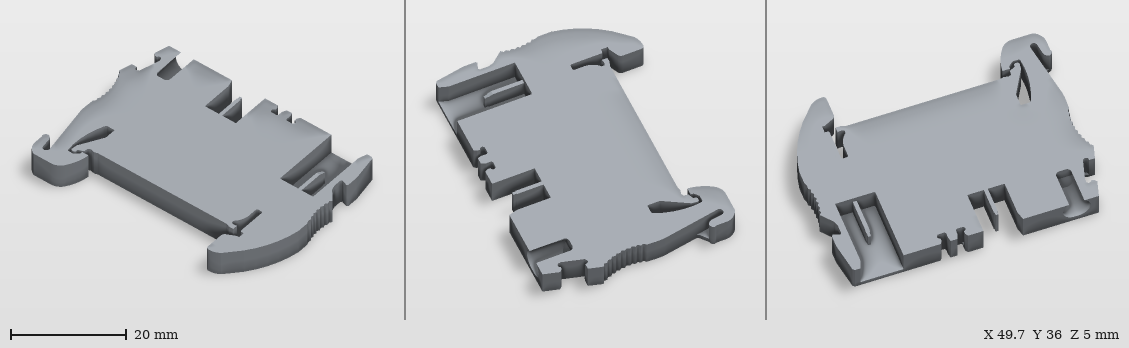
import cadquery as cq
import math

TOP = 36.0
THICK = 5.0
BASE = 7.05

GRIP_RADIUS = 10.8
TOOTH_STEP = 5.3
TOOTH_DEPTH = 0.3
LEFT_GRIP_CENTER = (-9.05, 19.9)
LEFT_GRIP_START = 32.0
LEFT_TEETH = 10
RIGHT_GRIP_CENTER = (49.1 + GRIP_RADIUS, 20.1)
RIGHT_TEETH = 7
RIGHT_GRIP_START = 180 - TOOTH_STEP * (RIGHT_TEETH - 1) / 2

SLOT_LEFT = 17.3
SLOT_RIGHT = 24.15
SLOT_FLOOR = 27.95
SLOT_BEVEL = (0.45, 1.6)

PIN_WIDTH = 0.75
PIN_TIP_WIDTH = 0.55
PIN_TIP_LENGTH = 0.65
SLOT_PIN_LEFT = 20.4
SLOT_PIN_END = 33.6

COMB_LEFT = 27.35
COMB_RIGHT = 31.65
COMB_FLOOR = 33.95
COMB_BEVEL = (0.35, 0.55)
COMB_TOOTH_LEFT = 28.6
COMB_TOOTH_RIGHT = 30.35

POCKET_LEFT = 38.85
POCKET_RIGHT = 46.2
POCKET_BOTTOM = 21.75
POCKET_FLOOR_Z = 0.85
POCKET_BEVEL = (0.55, 1.7)
POCKET_CORNER = 0.2
POCKET_PIN_LEFT = 42.25
POCKET_PIN_END = 29.15
POCKET_PIN_Z = 4.05
PIN_RAMP_LENGTH = 1.5
PIN_RAMP_DROP = 0.65

CHANNEL_X = 6.95
CHANNEL_WIDTH = 2.8
CHANNEL_END = 28.8
CHANNEL_CORNER = 0.8
BORE_RADIUS = 2.15
BORE_FLAT = 0.8
BORE_Z = 3.15
BORE_KINK = 33.25
BORE_FLOOR_END = 29.8
BORE_TAPER = 3.7
BORE_END_SLOPE = 56.0

GROOVE_RADIUS = 0.45
GROOVE_WEB = 0.5
GROOVES = [(3.5, 32.35), (2.35, 28.15), (COMB_LEFT, 34.4), (COMB_RIGHT, 34.4)]

LEVER_WEB = 0.95


def grip_points(center, start, count, direction):
    """Tooth tips on the grip circle with a notch between each pair."""
    points = []
    for i in range(2 * count - 1):
        radius = GRIP_RADIUS + TOOTH_DEPTH * (i % 2)
        angle = math.radians(start + direction * TOOTH_STEP * i / 2)
        points.append((center[0] + radius * math.cos(angle), center[1] + radius * math.sin(angle)))
    return points


def draw_top_edge(line):
    """Top edge from the left corner to the right corner."""
    line = line.lineTo(SLOT_LEFT - SLOT_BEVEL[0], TOP).lineTo(SLOT_LEFT, TOP - SLOT_BEVEL[1])
    line = line.lineTo(SLOT_LEFT, SLOT_FLOOR).lineTo(SLOT_RIGHT, SLOT_FLOOR).lineTo(SLOT_RIGHT, TOP)
    line = line.lineTo(COMB_LEFT - COMB_BEVEL[0], TOP).lineTo(COMB_LEFT, TOP - COMB_BEVEL[1])
    line = line.lineTo(COMB_LEFT, COMB_FLOOR).lineTo(28.4, COMB_FLOOR)
    line = line.lineTo(COMB_TOOTH_LEFT, 34.2).lineTo(COMB_TOOTH_LEFT, 35.15).lineTo(28.98, TOP)
    line = line.lineTo(30.15, TOP).lineTo(COMB_TOOTH_RIGHT, 35.3).lineTo(COMB_TOOTH_RIGHT, 34.2)
    line = line.lineTo(30.55, COMB_FLOOR).lineTo(COMB_RIGHT, COMB_FLOOR)
    line = line.lineTo(COMB_RIGHT, TOP - COMB_BEVEL[1]).lineTo(COMB_RIGHT + COMB_BEVEL[0], TOP)
    return line.lineTo(47.8, TOP)


def draw_right_side(line):
    """Right side with marker notch and grip, down to the tip of the right foot."""
    line = line.lineTo(48.15, 35.7).lineTo(49.1, 30.2).lineTo(49.1, 27.95).lineTo(48.85, 27.7)
    line = line.lineTo(47.55, 28.15).lineTo(47.35, 27.85).lineTo(47.35, 26.25).lineTo(47.65, 25.25)
    for point in grip_points(RIGHT_GRIP_CENTER, RIGHT_GRIP_START, RIGHT_TEETH, 1):
        line = line.lineTo(*point)
    line = line.lineTo(49.45, 16.8).lineTo(49.45, 16.4).lineTo(49.7, 15.8).lineTo(49.7, 13.4)
    line = line.threePointArc((48.3, 8.5), (45.5, 3.7)).lineTo(42.8, 0.7)
    return line.threePointArc((41.8, 0.2), (40.55, 0.0)).threePointArc((40.15, 0.15), (39.95, 0.5))


def draw_right_foot(line):
    """Inner side of the right foot and the spring gap above it."""
    line = line.lineTo(39.95, 4.1).threePointArc((40.05, 4.5), (40.35, 4.85)).lineTo(42.2, 5.75)
    line = line.lineTo(42.7, 5.75).lineTo(42.7, BASE).lineTo(42.1, BASE).lineTo(41.9, 7.25)
    line = line.lineTo(41.9, 13.05).lineTo(41.7, 13.25).lineTo(40.8, 13.25).lineTo(40.6, 13.05)
    line = line.lineTo(40.6, 11.05).threePointArc((40.25, 9.6), (39.35, 8.4)).lineTo(39.35, 7.85)
    line = line.threePointArc((39.95, 7.7), (40.6, 7.85)).lineTo(40.6, 6.75)
    return line.lineTo(39.65, 6.75).lineTo(38.9, BASE)


def draw_left_foot(line):
    """Spring gap of the left foot, then the hooked foot itself."""
    line = line.lineTo(10.4, BASE).lineTo(9.7, 6.85).lineTo(8.8, BASE).lineTo(8.3, 6.85)
    line = line.lineTo(8.2, 5.95).lineTo(7.1, 5.5).lineTo(7.1, 5.0).lineTo(6.8, 4.8)
    line = line.lineTo(6.3, 4.8).lineTo(6.1, 5.1).lineTo(6.25, 6.3).lineTo(8.95, 11.05)
    line = line.lineTo(8.95, 13.4).lineTo(7.3, 13.4).lineTo(6.95, 13.05)
    line = line.threePointArc((5.9, 9.7), (5.6, 6.2)).lineTo(5.75, 4.5).lineTo(5.95, 4.3)
    line = line.lineTo(7.1, 4.3).lineTo(8.0, 5.05).lineTo(8.05, 5.6).lineTo(9.45, 5.6)
    line = line.threePointArc((8.5, 2.3), (7.75, 1.05)).threePointArc((6.85, 0.3), (5.75, 0.0))
    line = line.lineTo(1.85, 0.0).threePointArc((0.7, 0.85), (0.15, 2.15)).lineTo(0.15, 4.25)
    return line.lineTo(0.0, 4.6).threePointArc((0.3, 5.15), (0.8, 5.35))


def draw_left_side(line):
    """Left side from the lever slot over the grip to the marker notch."""
    line = line.threePointArc((1.4, 4.95), (1.65, 4.15)).lineTo(1.9, 2.6)
    line = line.threePointArc((2.6, 1.95), (3.2, 2.75)).lineTo(1.3, 13.6)
    line = line.threePointArc((1.25, 14.8), (1.3, 16.0))
    for point in reversed(grip_points(LEFT_GRIP_CENTER, LEFT_GRIP_START, LEFT_TEETH, -1)):
        line = line.lineTo(*point)
    line = line.lineTo(0.15, 26.05).lineTo(0.8, 28.35).lineTo(2.0, 28.35).lineTo(2.65, 28.15)
    line = line.lineTo(2.75, 27.85).lineTo(2.9, 28.0).lineTo(4.0, 32.05).lineTo(3.9, 32.3)
    return line.lineTo(3.05, 32.45).lineTo(2.55, 32.5).lineTo(2.1, 33.0)


def make_plate():
    """Full-thickness plate with the complete outline."""
    line = cq.Workplane("XY").moveTo(2.9, TOP)
    line = draw_top_edge(line)
    line = draw_right_side(line)
    line = draw_right_foot(line)
    line = draw_left_foot(line)
    line = draw_left_side(line)
    return line.close().extrude(THICK)


def make_pin(left, start, end, height):
    """Flat pin along Y with a narrow tip."""
    inset = (PIN_WIDTH - PIN_TIP_WIDTH) / 2
    shoulder = end - PIN_TIP_LENGTH
    right = left + PIN_WIDTH
    outline = [
        (left, start), (left, shoulder), (left + inset, shoulder), (left + inset, end),
        (right - inset, end), (right - inset, shoulder), (right, shoulder), (right, start),
    ]
    return cq.Workplane("XY").polyline(outline).close().extrude(height)


def make_pocket():
    """Plug pocket cut down from the top face."""
    outline = [
        (POCKET_LEFT, TOP), (POCKET_LEFT, POCKET_BOTTOM + POCKET_CORNER),
        (POCKET_LEFT + POCKET_CORNER, POCKET_BOTTOM), (POCKET_RIGHT, POCKET_BOTTOM),
        (POCKET_RIGHT, TOP - POCKET_BEVEL[1]), (POCKET_RIGHT + POCKET_BEVEL[0], TOP),
    ]
    pocket = cq.Workplane("XY").workplane(offset=POCKET_FLOOR_Z).polyline(outline).close()
    return pocket.extrude(THICK - POCKET_FLOOR_Z)


def make_pocket_pin():
    """Pin on the pocket floor whose end slopes down toward the tip."""
    pin = make_pin(POCKET_PIN_LEFT, POCKET_BOTTOM, POCKET_PIN_END, POCKET_PIN_Z)
    ramp = [
        (POCKET_PIN_END - PIN_RAMP_LENGTH, POCKET_PIN_Z),
        (POCKET_PIN_END, POCKET_PIN_Z),
        (POCKET_PIN_END, POCKET_PIN_Z - PIN_RAMP_DROP),
    ]
    wedge = cq.Workplane("YZ").workplane(offset=POCKET_PIN_LEFT).polyline(ramp).close()
    return pin.cut(wedge.extrude(PIN_WIDTH))


def bore_section(y):
    """Obround bore section on the XZ plane at this y, facing -Y."""
    plane = cq.Workplane("XZ", origin=(CHANNEL_X, y, BORE_Z))
    return plane.slot2D(BORE_FLAT + 2 * BORE_RADIUS, 2 * BORE_RADIUS)


def make_channel():
    """Bore with a tapered, sloping end, open through a slot in the top face."""
    straight = bore_section(TOP).extrude(TOP - BORE_KINK)
    tapered = bore_section(BORE_KINK).extrude(BORE_KINK - CHANNEL_END, taper=BORE_TAPER)

    floor_z = BORE_Z - BORE_RADIUS + (BORE_KINK - BORE_FLOOR_END) * math.tan(math.radians(BORE_TAPER))
    ramp_rise = (BORE_FLOOR_END - CHANNEL_END) * math.tan(math.radians(BORE_END_SLOPE))
    ramp = [
        (BORE_FLOOR_END, 0), (BORE_FLOOR_END, floor_z),
        (CHANNEL_END, floor_z + ramp_rise), (CHANNEL_END, 0),
    ]
    half_bore = BORE_RADIUS + BORE_FLAT / 2
    wedge = cq.Workplane("YZ").workplane(offset=CHANNEL_X - half_bore).polyline(ramp).close()
    tapered = tapered.cut(wedge.extrude(2 * half_bore))

    length = TOP - CHANNEL_END
    slot = cq.Workplane("XY", origin=(CHANNEL_X, CHANNEL_END + length / 2, BORE_Z))
    slot = slot.rect(CHANNEL_WIDTH, length).extrude(THICK - BORE_Z)
    slot = slot.edges("|Z and <Y").fillet(CHANNEL_CORNER)
    return straight.union(tapered).union(slot)


def make_grooves():
    """Round latch grooves above their bottom web."""
    plane = cq.Workplane("XY").workplane(offset=GROOVE_WEB)
    return plane.pushPoints(GROOVES).circle(GROOVE_RADIUS).extrude(THICK - GROOVE_WEB)


def make_lever_web():
    """Thin web across the lever slot, rounded into the left side."""
    line = cq.Workplane("XY").moveTo(0.8, 5.35).lineTo(2.05, 6.4).threePointArc((2.4, 6.85), (2.4, 7.35))
    line = line.lineTo(3.2, 2.75).lineTo(2.6, 1.95).lineTo(1.9, 2.6).lineTo(1.65, 4.15)
    return line.close().extrude(LEVER_WEB)


result = make_plate().cut(make_pocket()).cut(make_channel()).cut(make_grooves())
result = result.union(make_pin(SLOT_PIN_LEFT, SLOT_FLOOR, SLOT_PIN_END, THICK))
result = result.union(make_pocket_pin()).union(make_lever_web())